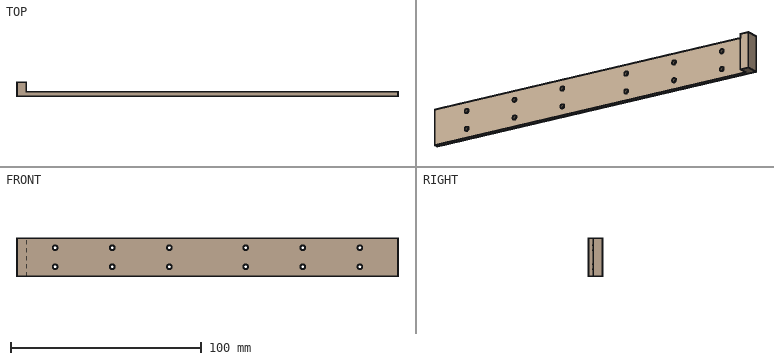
import cadquery as cq

length = 200.0
height = 20.0
depth = 7.5
plate_thickness = 2.5
lip_width = 5.0
hole_diameter = 2.5

end_margin = 20.0
column_pitch = 30.0
columns_per_group = 3
row_spacing = height / 2


def make_bracket():
    """Upright flat strip with a lip across its left end, pointing to +Y."""
    plate = cq.Workplane("XY").box(length, plate_thickness, height, centered=False)
    lip = cq.Workplane("XY").box(lip_width, depth, height, centered=False)
    return plate.union(lip)


def hole_centres():
    """Return the (x, z) centres of all holes, mirrored about mid-length."""
    centres = []
    for column in range(columns_per_group):
        offset = end_margin + column * column_pitch
        for x in (offset, length - offset):
            for side in (-1, 1):
                centres.append((x, height / 2 + side * row_spacing / 2))
    return centres


holes = (
    cq.Workplane("XZ")
    .pushPoints(hole_centres())
    .circle(hole_diameter / 2)
    .extrude(-plate_thickness)
)

result = make_bracket().cut(holes)